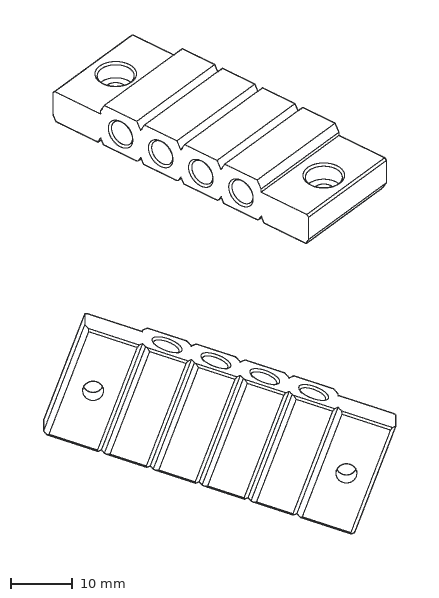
import cadquery as cq

length = 53.6
width = 20.0
height = 8.4

cell_count = 4
pitch = height
middle_length = cell_count * pitch
ear_length = (length - middle_length) / 2
ear_height = 6.3
middle_start = -middle_length / 2

groove_depth = 1.45
groove_half_width = 0.8

wide_bevel_width = 1.35
wide_bevel_height = 0.85

edge_chamfer = 0.4

cross_diameter = 4.4

screw_diameter = 3.4
counterbore_diameter = 6.0
counterbore_depth = 3.0


def prism(points):
    """Extrude an XZ outline across the full width, centred on Y."""
    return cq.Workplane("XZ").polyline(points).close().extrude(width / 2, both=True)


def body():
    half_length = length / 2
    half_middle = middle_length / 2
    right_side = [
        (half_length - groove_half_width, 0),
        (half_length, groove_depth),
        (half_length, ear_height - edge_chamfer),
        (half_length - edge_chamfer, ear_height),
        (half_middle, ear_height),
        (half_middle, height - groove_depth),
        (half_middle - groove_half_width, height),
    ]
    left_side = [(-x, z) for x, z in reversed(right_side)]
    return prism(right_side + left_side)


def bevel_bottom_sides(part):
    """Bevel the two long bottom edges."""
    half_width = width / 2
    for side in (-1, 1):
        wedge = (
            cq.Workplane("YZ")
            .polyline([
                (side * (half_width - edge_chamfer), 0),
                (side * half_width, 0),
                (side * half_width, edge_chamfer),
            ])
            .close()
            .extrude(length / 2, both=True)
        )
        part = part.cut(wedge)
    return part


def groove(x, surface_z, apex_z):
    return prism([
        (x - groove_half_width, surface_z),
        (x + groove_half_width, surface_z),
        (x, apex_z),
    ])


def wide_bevel(x):
    """Wedge that widens the -X flank of a bottom groove at x."""
    return prism([
        (x - wide_bevel_width, 0),
        (x, 0),
        (x, wide_bevel_height),
    ])


def chamfered_bore(plane, diameter, depth):
    """Blind bore cutter with a chamfered mouth, sunk from the plane."""
    bore = cq.Workplane(plane).circle(diameter / 2).extrude(-depth)
    mouth = (
        cq.Workplane(plane)
        .circle(diameter / 2 + edge_chamfer)
        .workplane(offset=-edge_chamfer)
        .circle(diameter / 2)
        .loft(ruled=True)
    )
    return bore.union(mouth)


result = bevel_bottom_sides(body())

for index in range(cell_count + 1):
    boundary_x = middle_start + index * pitch
    result = result.cut(groove(boundary_x, 0, groove_depth))
    if index > 0:
        result = result.cut(wide_bevel(boundary_x))
    if 0 < index < cell_count:
        result = result.cut(groove(boundary_x, height, height - groove_depth))

cross_half = chamfered_bore(
    cq.Plane((0, -width / 2, 0), (1, 0, 0), (0, -1, 0)),
    cross_diameter,
    width / 2,
)
cross_hole = cross_half.union(cross_half.mirror("XZ"))
for index in range(cell_count):
    center_x = middle_start + (index + 0.5) * pitch
    result = result.cut(cross_hole.translate((center_x, 0, height / 2)))

screw_hole = chamfered_bore(
    cq.Plane((0, 0, ear_height)),
    counterbore_diameter,
    counterbore_depth,
)
screw_hole = screw_hole.union(cq.Workplane("XY").circle(screw_diameter / 2).extrude(ear_height))
for side in (-1, 1):
    center_x = side * (length - ear_length) / 2
    result = result.cut(screw_hole.translate((center_x, 0, 0)))